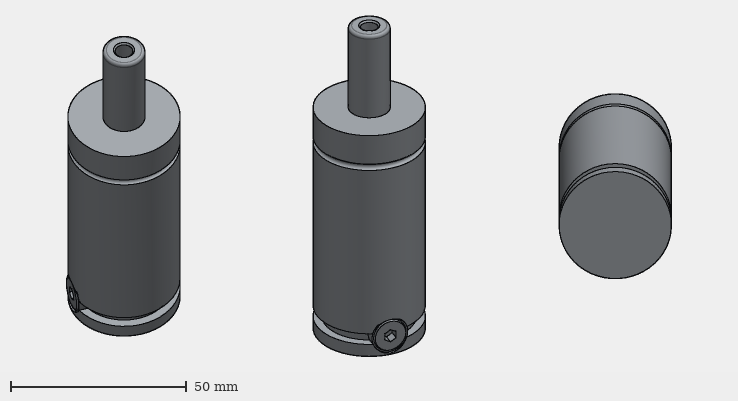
import cadquery as cq

TOTAL_HEIGHT = 100.0
BODY_DIAMETER = 32.0
BODY_HEIGHT = 73.0
BODY_RADIUS = BODY_DIAMETER / 2

ROD_DIAMETER = 12.0
ROD_EDGE_FILLET = 1.0
ROD_HOLE_DIAMETER = 5.0
ROD_HOLE_MOUTH_DIAMETER = 6.0
ROD_HOLE_DEPTH = 12.0
ROD_HOLE_TIP_HEIGHT = 1.5

MOUNT_GROOVE_BOTTOM = 4.0
MOUNT_GROOVE_TOP = 7.5
MOUNT_GROOVE_DIAMETER = 27.0

ROUND_GROOVE_HEIGHT = 62.5
ROUND_GROOVE_RADIUS = 1.0

PORT_HEIGHT = 6.0
SEAT_DIAMETER = 11.0
SEAT_FACE_DISTANCE = 15.25
PLUG_DIAMETER = 10.0
PLUG_FACE_DISTANCE = 15.75
PLUG_HEIGHT = PLUG_FACE_DISTANCE - SEAT_FACE_DISTANCE
PLUG_FACE_DIAMETER = 9.4
SOCKET_ACROSS_CORNERS = 4.0
SOCKET_DEPTH = 3.0


def cylinder(diameter, bottom, top):
    """Cylinder on the Z axis between two heights."""
    return cq.Workplane("XY").workplane(offset=bottom).circle(diameter / 2).extrude(top - bottom)


def port_plane(distance):
    """Plane across the port axis, facing -Y, at a distance from the body axis."""
    return cq.Workplane("XZ", origin=(0, -distance, PORT_HEIGHT))


def make_body():
    """Cylinder body with its square mounting groove and its round groove."""
    groove_core = cylinder(MOUNT_GROOVE_DIAMETER, MOUNT_GROOVE_BOTTOM, MOUNT_GROOVE_TOP)
    mount_groove = cylinder(BODY_DIAMETER, MOUNT_GROOVE_BOTTOM, MOUNT_GROOVE_TOP).cut(groove_core)
    groove_bottom = ROUND_GROOVE_HEIGHT - ROUND_GROOVE_RADIUS
    groove_top = ROUND_GROOVE_HEIGHT + ROUND_GROOVE_RADIUS
    round_groove = (
        cq.Workplane("XZ")
        .moveTo(BODY_RADIUS, groove_bottom)
        .threePointArc(
            (BODY_RADIUS - ROUND_GROOVE_RADIUS, ROUND_GROOVE_HEIGHT),
            (BODY_RADIUS, groove_top),
        )
        .close()
        .revolve(360, (0, 0), (0, 1))
    )
    body = cylinder(BODY_DIAMETER, 0, BODY_HEIGHT)
    return body.cut(mount_groove).cut(round_groove)


def make_rod():
    """Piston rod with a rounded end."""
    return cylinder(ROD_DIAMETER, 0, TOTAL_HEIGHT).faces(">Z").edges().fillet(ROD_EDGE_FILLET)


def make_rod_hole():
    """Drilled hole with a chamfered mouth and a conical tip."""
    hole_radius = ROD_HOLE_DIAMETER / 2
    mouth_radius = ROD_HOLE_MOUTH_DIAMETER / 2
    mouth_chamfer = mouth_radius - hole_radius
    hole_bottom = TOTAL_HEIGHT - ROD_HOLE_DEPTH
    return (
        cq.Workplane("XZ")
        .moveTo(0, TOTAL_HEIGHT)
        .lineTo(mouth_radius, TOTAL_HEIGHT)
        .lineTo(hole_radius, TOTAL_HEIGHT - mouth_chamfer)
        .lineTo(hole_radius, hole_bottom)
        .lineTo(0, hole_bottom - ROD_HOLE_TIP_HEIGHT)
        .close()
        .revolve(360, (0, 0), (0, 1))
    )


def add_port(part):
    """Bridge the mounting groove with the seat, sink its face and fit the plug."""
    seat = port_plane(0).circle(SEAT_DIAMETER / 2).extrude(SEAT_FACE_DISTANCE)
    recess = port_plane(SEAT_FACE_DISTANCE).circle(SEAT_DIAMETER / 2).extrude(BODY_RADIUS)
    plug = (
        port_plane(SEAT_FACE_DISTANCE)
        .circle(PLUG_DIAMETER / 2)
        .workplane(offset=PLUG_HEIGHT)
        .circle(PLUG_FACE_DIAMETER / 2)
        .loft()
    )
    socket = (
        port_plane(PLUG_FACE_DISTANCE)
        .transformed(rotate=(0, 0, 90))
        .polygon(6, SOCKET_ACROSS_CORNERS)
        .extrude(-SOCKET_DEPTH)
    )
    return part.cut(recess).union(seat).union(plug).cut(socket)


result = add_port(make_body().union(make_rod()).cut(make_rod_hole()))